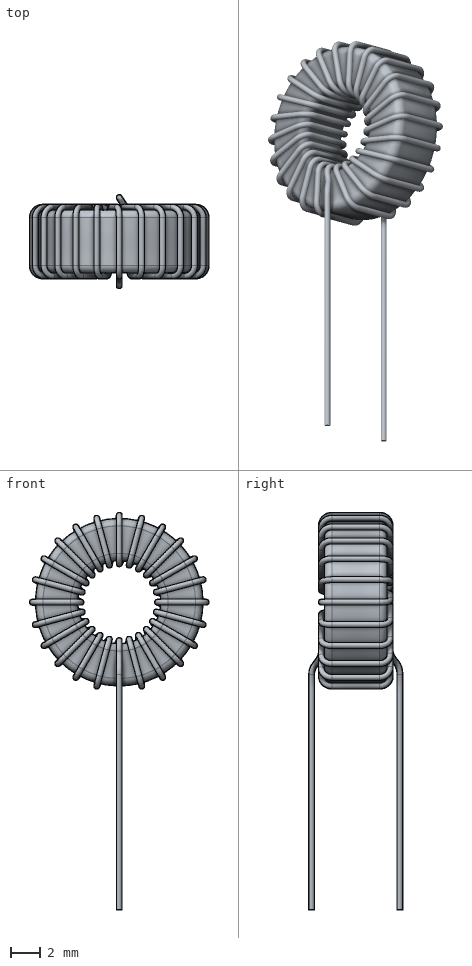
import math

import cadquery as cq

WIRE_DIAMETER = 0.4
CORE_OUTER_DIAMETER = 11.4
CORE_INNER_DIAMETER = 5.62
CORE_WIDTH = 4.27
CORE_FILLET = 0.5
TURNS = 24
LEAD_SPACING = 6.0
LEAD_TOP = -4.92
LEAD_BOTTOM = -20.9

WIRE_RADIUS = WIRE_DIAMETER / 2
OUTER_RUN_RADIUS = CORE_OUTER_DIAMETER / 2 + WIRE_RADIUS
INNER_RUN_RADIUS = CORE_INNER_DIAMETER / 2 - WIRE_RADIUS
FACE_RUN_Y = CORE_WIDTH / 2 + WIRE_RADIUS
BEND_RADIUS = CORE_FILLET + WIRE_RADIUS
PITCH = math.radians(360 / TURNS)
FIRST_TURN_ANGLE = math.radians(-90)

FRONT = cq.Vector(0, -1, 0)
BACK = cq.Vector(0, 1, 0)
UP = cq.Vector(0, 0, 1)
DOWN = cq.Vector(0, 0, -1)


def ring_point(radius, angle, y):
    """Point at a radius and angle about the Y axis."""
    return cq.Vector(radius * math.cos(angle), y, radius * math.sin(angle))


def make_core():
    ring = (
        cq.Workplane("XZ", origin=(0, CORE_WIDTH / 2, 0))
        .circle(CORE_OUTER_DIAMETER / 2)
        .circle(CORE_INNER_DIAMETER / 2)
        .extrude(CORE_WIDTH)
    )
    return ring.edges().fillet(CORE_FILLET)


def make_bend(corner, direction_in, direction_out):
    """Quarter circle that rounds a square corner of the wire axis."""
    start = corner - direction_in * BEND_RADIUS
    end = corner + direction_out * BEND_RADIUS
    centre = start + direction_out * BEND_RADIUS
    middle = centre + (corner - centre).normalized() * BEND_RADIUS
    return cq.Edge.makeThreePointArc(start, middle, end)


def make_turn_bends(turn):
    """The four bends of one turn, in winding order.

    The wire comes in radially over the front face, passes through the ring, slants outward
    over the back face by one pitch and returns over the outside to the front face.
    """
    angle = FIRST_TURN_ANGLE - turn * PITCH
    next_angle = angle - PITCH
    front_inner = ring_point(INNER_RUN_RADIUS, angle, -FACE_RUN_Y)
    back_inner = ring_point(INNER_RUN_RADIUS, angle, FACE_RUN_Y)
    back_outer = ring_point(OUTER_RUN_RADIUS, next_angle, FACE_RUN_Y)
    front_outer = ring_point(OUTER_RUN_RADIUS, next_angle, -FACE_RUN_Y)
    inward = ring_point(-1, angle, 0)
    next_inward = ring_point(-1, next_angle, 0)
    slant = (back_outer - back_inner).normalized()
    return [
        make_bend(front_inner, inward, BACK),
        make_bend(back_inner, BACK, slant),
        make_bend(back_outer, slant, FRONT),
        make_bend(front_outer, FRONT, next_inward),
    ]


def make_coil_edges():
    """Bends of all the turns, joined by straight runs."""
    bends = [bend for turn in range(TURNS) for bend in make_turn_bends(turn)]
    bends = bends[:-2]
    edges = [bends[0]]
    for previous, bend in zip(bends, bends[1:]):
        edges.append(cq.Edge.makeLine(previous.endPoint(), bend.startPoint()))
        edges.append(bend)
    return edges


def make_winding():
    coil = make_coil_edges()
    coil_start = coil[0].startPoint()
    coil_end = coil[-1].endPoint()

    front_foot = cq.Vector(0, -LEAD_SPACING / 2, LEAD_BOTTOM)
    front_top = cq.Vector(0, -LEAD_SPACING / 2, LEAD_TOP)
    back_foot = cq.Vector(0, LEAD_SPACING / 2, LEAD_BOTTOM)
    back_top = cq.Vector(0, LEAD_SPACING / 2, LEAD_TOP)

    front_lead = cq.Edge.makeLine(front_foot, front_top)
    front_curve = cq.Edge.makeSpline([front_top, coil_start], tangents=[UP, coil[0].tangentAt(0)])
    back_curve = cq.Edge.makeSpline([coil_end, back_top], tangents=[coil[-1].tangentAt(1), DOWN])
    back_lead = cq.Edge.makeLine(back_top, back_foot)

    path = cq.Wire.assembleEdges([front_lead, front_curve, *coil, back_curve, back_lead])
    return cq.Workplane("XY", origin=front_foot.toTuple()).circle(WIRE_RADIUS).sweep(path)


core = make_core()
winding = make_winding()
result = cq.Compound.makeCompound([core.val(), winding.val()])